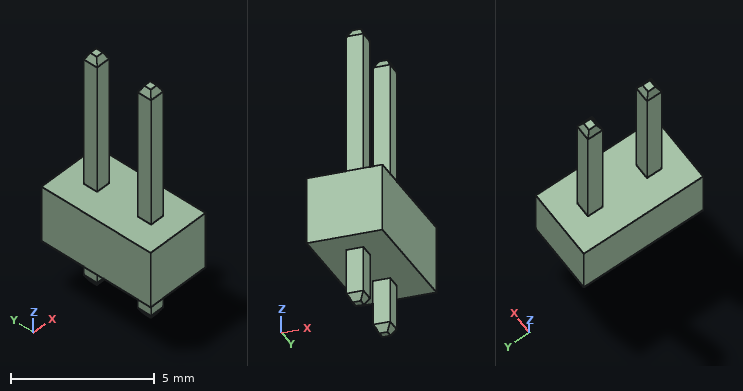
import cadquery as cq

total_height = 10.65

housing_width = 2.84
housing_length = 5.15
housing_height = 2.55
housing_bottom = 2.0
housing_top = housing_bottom + housing_height

pin_pitch = 2.55
pin_side = 0.64
tip_side = 0.32
tip_height = 0.3
pin_positions = [-pin_pitch / 2, pin_pitch / 2]


def make_housing():
    """Plain block that carries the pins on its top and bottom faces."""
    return (
        cq.Workplane("XY")
        .workplane(offset=housing_bottom)
        .rect(housing_width, housing_length)
        .extrude(housing_height)
    )


def make_pin(length):
    """Square pin standing on the origin, tapering to a flat tip at the given length."""
    shaft_length = length - tip_height
    shaft = cq.Workplane("XY").rect(pin_side, pin_side).extrude(shaft_length)
    tip = (
        cq.Workplane("XY")
        .workplane(offset=shaft_length)
        .rect(pin_side, pin_side)
        .workplane(offset=tip_height)
        .rect(tip_side, tip_side)
        .loft(ruled=True)
    )
    return shaft.union(tip)


def make_upper_pin(y):
    """Long pin rising from the top face of the housing."""
    return make_pin(total_height - housing_top).translate((0, y, housing_top))


def make_lower_pin(y):
    """Short pin hanging from the bottom face of the housing."""
    pin = make_pin(housing_bottom).rotate((0, 0, 0), (1, 0, 0), 180)
    return pin.translate((0, y, housing_bottom))


housing = make_housing()
upper_pins = [make_upper_pin(y) for y in pin_positions]
lower_pins = [make_lower_pin(y) for y in pin_positions]

result = cq.Compound.makeCompound(
    [housing.val()] + [pin.val() for pin in upper_pins + lower_pins]
)